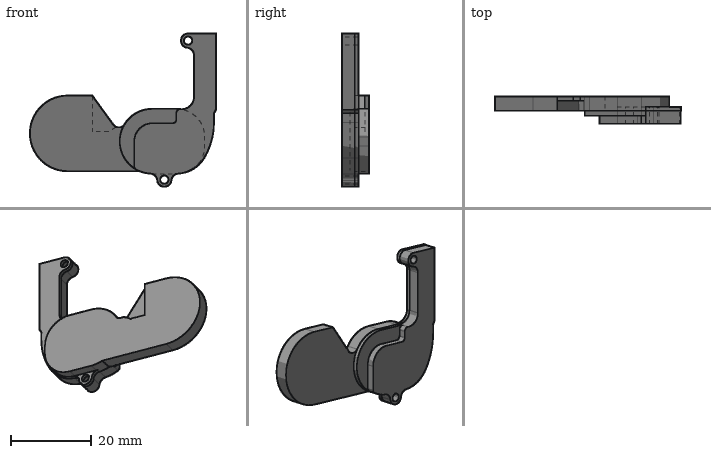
import cadquery as cq
import math

STEP_Y = 2.0
SPLIT_Y = 3.2
ARM_BACK_Y = 4.2
POCKET_Y = 5.7
BACK_Y = 6.8

HOUSING_R = 8.1
HOUSING_FLAT = 6.0
HOUSING_CORNER_R = 7.0

LEVER_R = 9.45
LEVER_X = -21.03
LEVER_Z = 1.96
SLOPE_TOP_X = -14.94
NOTCH_X = -9.22
NOTCH_Z = 3.5
NOTCH_R = 1.5
NOTCH_END_X = -math.sqrt((HOUSING_R + NOTCH_R)**2 - (NOTCH_Z + NOTCH_R)**2)
POCKET_FLOOR_Z = 2.45
POCKET_FLOOR_END_X = -11.0

PLATE_INSET = 3.63
PLATE_CORNER_R = 1.0
ELBOW_R = 3.0
ELBOW_Z = 8.0
ARM_LEFT_X = 10.35
ARM_TOP_Z = 26.84
COVER_ARM_RIGHT_X = 15.83
BASE_ARM_RIGHT_X = 15.92
FLANK_X = 15.4
FLANK_R = 17.25
FLANK_STEP_TOP_Z = 7.9
FLANK_STEP_LOW_Z = 7.0

BOSS_R = 1.8
HOLE_D = 2.0
TOP_BOSS_X = 8.92
TOP_BOSS_Z = ARM_TOP_Z - BOSS_R
LOW_BOSS_X = HOUSING_FLAT / 2
LOW_BOSS_Z = -9.55


def layer(front_y, back_y):
    """Sketch plane whose extrusion by (back_y - front_y) fills that layer."""
    return cq.Workplane("XZ", origin=(0, back_y, 0))


def toward(start, target, distance):
    """Point at a distance from start on the way to target."""
    span = math.dist(start, target)
    return tuple(s + (t - s) * distance / span for s, t in zip(start, target))


def arc_middle(center, start, end, radius):
    """Middle of the shorter arc between two points of a circle."""
    chord_middle = tuple((s + e) / 2 for s, e in zip(start, end))
    return toward(center, chord_middle, radius)


def arc_to(sketch, center, start, end):
    """Draw the shorter arc around center from start to end."""
    middle = arc_middle(center, start, end, math.dist(center, start))
    return sketch.threePointArc(middle, end)


def housing(front_y, back_y):
    """Round housing: half circle on the left, rounded corners on the right."""
    right_x = HOUSING_FLAT + HOUSING_CORNER_R
    corner_z = HOUSING_R - HOUSING_CORNER_R
    sketch = layer(front_y, back_y).moveTo(0, HOUSING_R).lineTo(HOUSING_FLAT, HOUSING_R)
    sketch = sketch.radiusArc((right_x, corner_z), HOUSING_CORNER_R).lineTo(right_x, -corner_z)
    sketch = sketch.radiusArc((HOUSING_FLAT, -HOUSING_R), HOUSING_CORNER_R).lineTo(0, -HOUSING_R)
    sketch = sketch.threePointArc((-HOUSING_R, 0), (0, HOUSING_R)).close()
    return sketch.extrude(back_y - front_y)


def arm_plate(front_y, back_y, arm_right_x):
    """Plate over the housing with the upright arm, both bosses and their holes."""
    left_center = (0, 0)
    right_center = (HOUSING_FLAT, 0)
    plate_r = HOUSING_R - PLATE_INSET

    corner_x = PLATE_CORNER_R - plate_r
    corner_z = -math.sqrt((HOUSING_R - PLATE_CORNER_R)**2 - corner_x**2)
    left_corner = (corner_x, corner_z)
    left_bottom = (-plate_r, corner_z)
    left_joint = toward(left_center, left_corner, HOUSING_R)

    notch_x = HOUSING_FLAT
    elbow_center = (ARM_LEFT_X - ELBOW_R, ELBOW_Z + ELBOW_R)
    elbow_end = (ARM_LEFT_X, elbow_center[1])
    upper_x = notch_x + PLATE_CORNER_R
    upper_drop = math.sqrt((ELBOW_R + PLATE_CORNER_R)**2 - (elbow_center[0] - upper_x)**2)
    upper_corner = (upper_x, elbow_center[1] - upper_drop)
    outer_start = (notch_x, upper_corner[1])
    outer_end = toward(upper_corner, elbow_center, PLATE_CORNER_R)
    inner_start = (notch_x - PLATE_CORNER_R, plate_r)
    inner_end = (notch_x, plate_r + PLATE_CORNER_R)

    top_boss = (TOP_BOSS_X, TOP_BOSS_Z)
    top_fillet_x = ARM_LEFT_X - BOSS_R
    top_fillet_drop = math.sqrt((2 * BOSS_R)**2 - (TOP_BOSS_X - top_fillet_x)**2)
    top_fillet = (top_fillet_x, TOP_BOSS_Z - top_fillet_drop)
    top_fillet_start = (ARM_LEFT_X, top_fillet[1])
    top_joint = toward(top_boss, top_fillet, BOSS_R)

    flank_x = FLANK_X - FLANK_R
    flank_z = math.sqrt((FLANK_R - HOUSING_R)**2 - (HOUSING_FLAT - flank_x)**2)
    flank_center = (flank_x, flank_z)
    flank_end = toward(flank_center, right_center, FLANK_R)

    low_boss = (LOW_BOSS_X, LOW_BOSS_Z)
    to_housing = math.dist(low_boss, left_center)
    boss_angle = math.acos(
        ((2 * BOSS_R)**2 + to_housing**2 - (HOUSING_R + BOSS_R)**2) / (2 * 2 * BOSS_R * to_housing)
    )
    fillet_angle = math.atan2(-LOW_BOSS_Z, -LOW_BOSS_X) + boss_angle
    fillet_dx = 2 * BOSS_R * math.cos(fillet_angle)
    fillet_z = LOW_BOSS_Z + 2 * BOSS_R * math.sin(fillet_angle)
    left_fillet = (LOW_BOSS_X + fillet_dx, fillet_z)
    right_fillet = (LOW_BOSS_X - fillet_dx, fillet_z)
    right_start = toward(right_center, right_fillet, HOUSING_R)
    right_joint = toward(low_boss, right_fillet, BOSS_R)
    boss_joint = toward(low_boss, left_fillet, BOSS_R)
    left_end = toward(left_center, left_fillet, HOUSING_R)

    sketch = layer(front_y, back_y).moveTo(*left_bottom).lineTo(-plate_r, 0)
    sketch = sketch.radiusArc((0, plate_r), plate_r).lineTo(*inner_start)
    sketch = sketch.radiusArc(inner_end, -PLATE_CORNER_R).lineTo(*outer_start)
    sketch = sketch.radiusArc(outer_end, PLATE_CORNER_R)
    sketch = arc_to(sketch, elbow_center, outer_end, elbow_end).lineTo(*top_fillet_start)
    sketch = arc_to(sketch, top_fillet, top_fillet_start, top_joint)
    sketch = sketch.threePointArc((TOP_BOSS_X - BOSS_R, TOP_BOSS_Z), (TOP_BOSS_X, ARM_TOP_Z))
    sketch = sketch.lineTo(arm_right_x, ARM_TOP_Z).lineTo(arm_right_x, FLANK_STEP_TOP_Z)
    sketch = sketch.lineTo(FLANK_X, FLANK_STEP_LOW_Z).lineTo(FLANK_X, flank_z)
    sketch = arc_to(sketch, flank_center, (FLANK_X, flank_z), flank_end)
    sketch = arc_to(sketch, right_center, flank_end, right_start)
    sketch = arc_to(sketch, right_fillet, right_start, right_joint)
    sketch = sketch.threePointArc((LOW_BOSS_X, LOW_BOSS_Z - BOSS_R), boss_joint)
    sketch = arc_to(sketch, left_fillet, boss_joint, left_end)
    sketch = arc_to(sketch, left_center, left_end, left_joint)
    sketch = arc_to(sketch, left_corner, left_joint, left_bottom).close()
    plate = sketch.extrude(back_y - front_y)

    holes = layer(front_y, back_y).pushPoints([top_boss, low_boss])
    return plate.cut(holes.circle(HOLE_D / 2).extrude(back_y - front_y))


def lever(front_y, back_y):
    """Lever with a round left end and a notch where it meets the housing."""
    top_z = LEVER_Z + LEVER_R
    bottom_z = LEVER_Z - LEVER_R

    slope_angle = math.atan2(top_z - NOTCH_Z, NOTCH_X - SLOPE_TOP_X)
    setback = NOTCH_R * math.tan(slope_angle / 2)
    slope_end = toward((NOTCH_X, NOTCH_Z), (SLOPE_TOP_X, top_z), setback)
    floor_start = (NOTCH_X + setback, NOTCH_Z)

    fillet_z = NOTCH_Z + NOTCH_R
    housing_joint = toward((0, 0), (NOTCH_END_X, fillet_z), HOUSING_R)

    sketch = layer(front_y, back_y).moveTo(LEVER_X, top_z).lineTo(SLOPE_TOP_X, top_z)
    sketch = sketch.lineTo(*slope_end).radiusArc(floor_start, -NOTCH_R).lineTo(NOTCH_END_X, NOTCH_Z)
    sketch = sketch.radiusArc(housing_joint, -NOTCH_R).lineTo(0, 0).lineTo(0, bottom_z)
    sketch = sketch.lineTo(LEVER_X, bottom_z)
    sketch = sketch.threePointArc((LEVER_X - LEVER_R, LEVER_Z), (LEVER_X, top_z)).close()
    return sketch.extrude(back_y - front_y)


def lever_pocket():
    """Open pocket in the back of the lever, under the sloping edge."""
    top_z = LEVER_Z + LEVER_R
    outline = [
        (SLOPE_TOP_X, top_z),
        (SLOPE_TOP_X, POCKET_FLOOR_Z),
        (POCKET_FLOOR_END_X, POCKET_FLOOR_Z),
        (NOTCH_X, NOTCH_Z),
        (NOTCH_END_X, NOTCH_Z),
        (NOTCH_END_X, top_z),
    ]
    return layer(POCKET_Y, BACK_Y).polyline(outline).close().extrude(BACK_Y - POCKET_Y)


def make_cover():
    """Front body: raised plate with arm, on a round flange."""
    return arm_plate(0, SPLIT_Y, COVER_ARM_RIGHT_X).union(housing(STEP_Y, SPLIT_Y))


def make_base():
    """Back body: lever and housing, with a thin backing behind the arm."""
    body = lever(SPLIT_Y, BACK_Y).cut(lever_pocket()).union(housing(SPLIT_Y, BACK_Y))
    return body.union(arm_plate(SPLIT_Y, ARM_BACK_Y, BASE_ARM_RIGHT_X))


cover = make_cover()
base = make_base()

result = cq.Compound.makeCompound([cover.val(), base.val()])